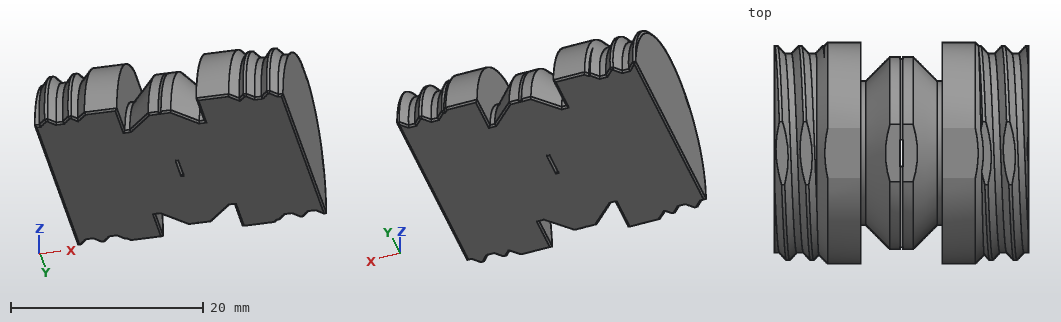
import cadquery as cq

length = 26.4
half_length = length / 2
base_chamfer = 0.2

flange_radius = 11.5
flange_inner_x = 4.22
flange_outer_x = 7.67
flange_flat_z = 11.2

core_radius = 10.0
core_half_width = 1.2
neck_radius = 7.5
core_cone_x = core_half_width + core_radius - neck_radius
core_flat_z = 9.54

slot_width = 0.3
web_thickness = 0.2
web_gap = 2.77

thread_pitch = 2.5
thread_root_radius = 10.37
thread_crest_radius = 11.15
thread_crest_width = 0.33
thread_root_width = 0.70
thread_embed = 0.2
thread_foot = 0.4
thread_flat_z = 10.66
thread_turns = 4
left_crest_x = -10.54
right_crest_x = 10.58
flange_middle_x = (flange_inner_x + flange_outer_x) / 2
flange_cone_x = flange_outer_x + flange_radius - thread_root_radius


def slab(x_min, x_max, height):
    """Box on Z = 0, wide enough to contain the whole section in Y."""
    width = 4 * flange_radius
    return cq.Workplane("XY").box(x_max - x_min, width, height, (False, True, False)).translate((x_min, 0, 0))


def revolved(points):
    """Solid of revolution about X from (x, radius) points."""
    return cq.Workplane("XZ").polyline(points).close().revolve(360, (0, 0, 0), (1, 0, 0))


def half_round(solid, flat_z):
    """Keep the part of a solid between Z = 0 and its crown flat and bevel the underside."""
    half = solid.intersect(slab(-length, length, flat_z))
    return half.faces("<Z").edges().chamfer(base_chamfer)


def flange(side):
    """Flange with a 45 degree cone down to the thread root; side is -1 or +1."""
    points = [
        (flange_inner_x, 0),
        (flange_inner_x, flange_radius),
        (flange_outer_x, flange_radius),
        (flange_cone_x, thread_root_radius),
        (flange_cone_x, 0),
    ]
    body = revolved([(side * x, radius) for x, radius in points])
    return half_round(body, flange_flat_z)


def thread_root(side):
    """Plain cylinder under the thread, from inside the flange to the end face."""
    cylinder = revolved([
        (side * flange_middle_x, 0),
        (side * flange_middle_x, thread_root_radius),
        (side * half_length, thread_root_radius),
        (side * half_length, 0),
    ])
    return half_round(cylinder, thread_flat_z)


def thread_ridge(side, crest_x):
    """Right-handed trapezoidal ridge whose middle turn crosses the +Y side at crest_x."""
    flank = (thread_pitch - thread_root_width - thread_crest_width) / 2
    flank_slope = flank / (thread_crest_radius - thread_root_radius)
    half_crest = thread_crest_width / 2
    half_base = half_crest + flank + thread_embed * flank_slope
    flank_end_radius = thread_root_radius - thread_embed
    foot_radius = flank_end_radius - thread_foot
    path = cq.Wire.makeHelix(thread_pitch, thread_turns * thread_pitch, thread_root_radius)
    profile = cq.Workplane("XZ").polyline([
        (foot_radius, -half_base),
        (flank_end_radius, -half_base),
        (thread_crest_radius, -half_crest),
        (thread_crest_radius, half_crest),
        (flank_end_radius, half_base),
        (foot_radius, half_base),
    ]).close()
    ridge = profile.sweep(cq.Workplane(path), isFrenet=True)
    start_x = crest_x - (thread_turns / 2 + 1 / 4) * thread_pitch
    ridge = ridge.rotate((0, 0, 0), (0, 1, 0), 90).translate((start_x, 0, 0))
    x_min, x_max = sorted((side * flange_middle_x, side * half_length))
    envelope = slab(x_min, x_max, thread_flat_z).faces("<Z").edges("|Y").chamfer(base_chamfer)
    return half_round(ridge, thread_flat_z).intersect(envelope)


def core():
    """Double cone with necks that run into the flanges."""
    body = revolved([
        (-flange_middle_x, 0),
        (-flange_middle_x, neck_radius),
        (-core_cone_x, neck_radius),
        (-core_half_width, core_radius),
        (core_half_width, core_radius),
        (core_cone_x, neck_radius),
        (flange_middle_x, neck_radius),
        (flange_middle_x, 0),
    ])
    return half_round(body, core_flat_z)


def slot():
    """Gap that separates the two halves of the core."""
    return slab(-slot_width / 2, slot_width / 2, flange_radius)


def webs():
    """Thin webs that bridge the slot at the underside on either side of the middle opening."""
    web_end = core_radius - base_chamfer
    bridge = cq.Workplane("XY").box(slot_width, 2 * web_end, web_thickness, (True, True, False))
    opening = cq.Workplane("XY").box(slot_width, web_gap, 2 * web_thickness)
    return bridge.cut(opening)


body = core()
for side, crest_x in ((-1, left_crest_x), (1, right_crest_x)):
    body = body.union(flange(side)).union(thread_root(side)).union(thread_ridge(side, crest_x))

result = body.cut(slot()).union(webs())